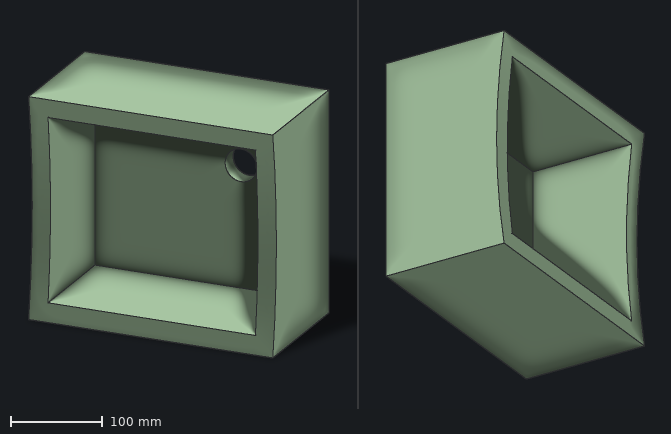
import cadquery as cq
import math

width = 291.0
height = 260.0
depth = 151.43

front_radius = 882.0
front_hollow = front_radius - math.sqrt(front_radius**2 - (height / 2) ** 2)
middle_depth = depth - front_hollow

wall = 22.0
cavity_width = width - 2 * wall
cavity_height = height - 2 * wall

hole_diameter = 38.0
hole_inset = 73.0
hole_x = cavity_width / 2 - hole_inset
hole_z = cavity_height / 2 - hole_inset


def make_block():
    """Solid block whose front face is a concave arc in the YZ plane."""
    return (
        cq.Workplane("YZ")
        .moveTo(0, -height / 2)
        .lineTo(-depth, -height / 2)
        .threePointArc((-middle_depth, 0), (-depth, height / 2))
        .lineTo(0, height / 2)
        .close()
        .extrude(width / 2, both=True)
    )


def make_cavity():
    """Rectangular cavity, open to the front and closed by the back panel."""
    return (
        cq.Workplane("XZ", origin=(0, -wall, 0))
        .rect(cavity_width, cavity_height)
        .extrude(depth)
    )


def make_hole():
    """Cylinder that pierces the back panel."""
    return (
        cq.Workplane("XZ")
        .center(hole_x, hole_z)
        .circle(hole_diameter / 2)
        .extrude(depth)
    )


result = make_block().cut(make_cavity()).cut(make_hole())